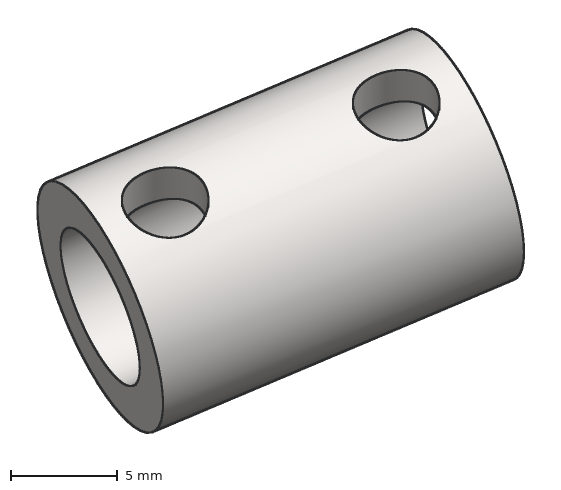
import cadquery as cq

length = 19.05
outer_diameter = 12.7
bore_diameter = 8.0

hole_diameter = 4.05
hole_spacing = 12.2

sleeve = (
    cq.Workplane("XZ")
    .circle(outer_diameter / 2)
    .circle(bore_diameter / 2)
    .extrude(length / 2, both=True)
)

screw_holes = (
    cq.Workplane("XY")
    .pushPoints([(0, -hole_spacing / 2), (0, hole_spacing / 2)])
    .circle(hole_diameter / 2)
    .extrude(outer_diameter)
)

result = sleeve.cut(screw_holes)